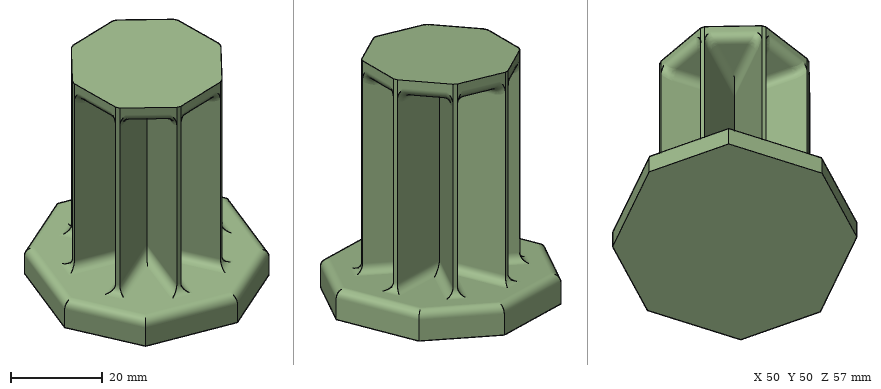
import cadquery as cq
import math

base_width = 50.0
base_flat = 19.0
base_height = 7.0

total_height = 57.0
cap_height = 4.0
rib_count = 8
rib_span = 35.0
rib_thickness = 1.0

round_radius = 2.0

cap_bottom = total_height - cap_height
rib_pitch = 360.0 / rib_count
tolerance = 0.01


def make_base():
    """Eight-sided plate with a rounded top rim."""
    plate = (
        cq.Workplane("XY")
        .rect(base_width, base_width)
        .extrude(base_height)
        .edges("|Z")
        .chamfer((base_width - base_flat) / 2)
    )
    return plate.faces(">Z").edges().fillet(round_radius)


def make_flared_rib():
    """Full-span rib along X whose foot flares out onto the base on all four sides."""
    footing = (
        cq.Workplane("XY")
        .rect(rib_span + 4 * round_radius, rib_thickness + 4 * round_radius)
        .extrude(base_height)
    )
    rib = (
        cq.Workplane("XY", origin=(0, 0, base_height))
        .rect(rib_span, rib_thickness)
        .extrude(cap_bottom - base_height)
    )
    root_box = cq.selectors.BoxSelector(
        (-rib_span / 2 - tolerance, -rib_thickness / 2 - tolerance, base_height - tolerance),
        (rib_span / 2 + tolerance, rib_thickness / 2 + tolerance, base_height + tolerance),
    )
    return footing.union(rib).edges(root_box).fillet(round_radius)


def make_ribs():
    """Star of full-span ribs crossing on the axis; each one makes two opposite arms."""
    flared_rib = make_flared_rib()
    star = flared_rib
    for index in range(1, rib_count // 2):
        star = star.union(flared_rib.rotate((0, 0, 0), (0, 0, 1), index * rib_pitch))
    return star


def make_cap():
    """Plate joining the flat rib tips by straight sides."""
    corners = []
    for index in range(rib_count):
        angle = math.radians(index * rib_pitch)
        for offset in (-rib_thickness / 2, rib_thickness / 2):
            x = rib_span / 2 * math.cos(angle) - offset * math.sin(angle)
            y = rib_span / 2 * math.sin(angle) + offset * math.cos(angle)
            corners.append((x, y))
    return cq.Workplane("XY", origin=(0, 0, cap_bottom)).polyline(corners).close().extrude(cap_height)


def cap_underside_edges(body, from_radius, to_radius):
    """Edges in the plane of the cap underside whose middle lies between two radii from the axis."""
    edges = []
    for edge in body.edges("#Z").vals():
        middle = edge.Center()
        in_plane = abs(middle.z - cap_bottom) < tolerance
        if in_plane and from_radius < math.hypot(middle.x, middle.y) < to_radius:
            edges.append(edge)
    return edges


def round_cap_underside(body):
    """Round the cap's lower rim first, then fillet the rib tops so they follow the rounded rim."""
    split_radius = 0.75 * rib_span / 2
    rim = cap_underside_edges(body, split_radius, rib_span)
    rounded = body.newObject(rim).fillet(round_radius)
    rib_tops = cap_underside_edges(rounded, 0, split_radius)
    return rounded.newObject(rib_tops).fillet(round_radius)


column = make_ribs().union(make_cap())
result = round_cap_underside(make_base().union(column))